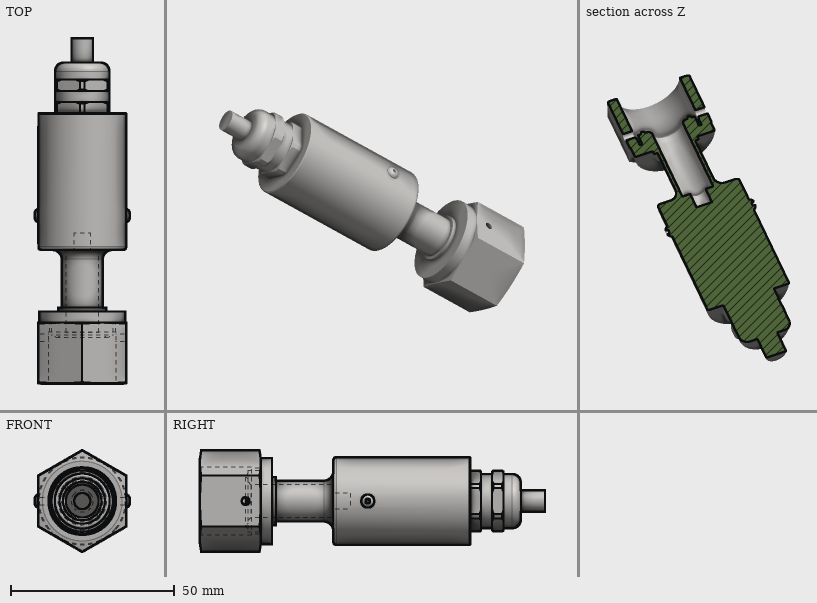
import cadquery as cq
import math

OVERALL_LENGTH = 105.7
OVERLAP = 0.5

NUT_FLATS = 27.0
NUT_LENGTH = 18.9
NUT_FACE_DIAMETER = 24.4
NUT_CHAMFER_DEPTH = 0.5
NUT_BORE_DIAMETER = 20.7
NUT_BORE_DEPTH = 15.9
NUT_SEAT_DIAMETER = 20.2
NUT_SEAT_DEPTH = 18.5
COLLAR_DIAMETER = 26.4
COLLAR_END = 22.2
PORT_DIAMETER = 2.3
PORT_Y = 14.2

GLAND_DIAMETER = 18.8
BEAD_TIP_Y = 14.2
BEAD_MEAN_DIAMETER = 15.3
BEAD_RADIUS = 0.7
GLAND_FACE_Y = BEAD_TIP_Y + BEAD_RADIUS
SLEEVE_DIAMETER = 14.8
SLEEVE_END = 23.4
SHANK_DIAMETER = 12.6
SHANK_FILLET = 2.7
BORE_DIAMETER = 10.0
BORE_MOUTH_DIAMETER = 11.7
SENSING_HOLE_DIAMETER = 5.0
SENSING_HOLE_DEPTH = 5.3

BODY_DIAMETER = 27.0
BODY_START = 40.9
BODY_END = 82.9
BODY_FILLET = 1.1
BODY_CHAMFER = 0.3

SCREW_Y = 51.5
SCREW_SPAN = 29.2
SCREW_DIAMETER = 4.0
SCREW_RIM_HEIGHT = 0.1
SCREW_SHOULDER_DIAMETER = 3.0
SCREW_SHOULDER_DROP = 0.3
SOCKET_MOUTH_DIAMETER = 1.5
SOCKET_DIAMETER = 1.2
SOCKET_DEPTH = 0.8

CABLE_GLAND_DIAMETER = 16.7
CABLE_GLAND_END = 98.3
DOME_RADIUS = 2.7
HEX_FLATS = 16.8
HEX_CORNER_DIAMETER = 18.6
HEX_CHAMFER = 0.4
LOWER_HEX_END = 86.2
UPPER_HEX_START = 89.5
UPPER_HEX_END = 93.0
CABLE_DIAMETER = 6.7


def cylinder(diameter, start, end):
    """Round bar along Y between two Y positions."""
    return cq.Workplane("XZ", origin=(0, start, 0)).circle(diameter / 2).extrude(start - end)


def hexagon(flats, start, end):
    """Hexagonal bar along Y with flats facing -X and +X."""
    corner_diameter = flats / math.cos(math.pi / 6)
    profile = cq.Workplane("XZ", origin=(0, start, 0)).transformed(rotate=(0, 0, 90))
    return profile.polygon(6, corner_diameter).extrude(start - end)


def revolve(profile):
    """Turn a closed (radius, Y) profile around the Y axis."""
    return profile.close().revolve(360, (0, 0, 0), (0, 1, 0))


def make_nut():
    corner_radius = NUT_FLATS / 2 / math.cos(math.pi / 6)
    face_radius = NUT_FACE_DIAMETER / 2
    chamfer_envelope = revolve(
        cq.Workplane("XY")
        .moveTo(0, 0)
        .lineTo(face_radius, 0)
        .lineTo(corner_radius, NUT_CHAMFER_DEPTH)
        .lineTo(corner_radius, NUT_LENGTH - NUT_CHAMFER_DEPTH)
        .lineTo(face_radius, NUT_LENGTH)
        .lineTo(0, NUT_LENGTH)
    )
    nut = hexagon(NUT_FLATS, 0, NUT_LENGTH).intersect(chamfer_envelope)
    nut = nut.union(cylinder(COLLAR_DIAMETER, NUT_LENGTH - OVERLAP, COLLAR_END))
    nut = nut.cut(cylinder(NUT_BORE_DIAMETER, 0, NUT_BORE_DEPTH))
    nut = nut.cut(cylinder(NUT_SEAT_DIAMETER, 0, NUT_SEAT_DEPTH))
    nut = nut.cut(cylinder(BORE_DIAMETER, 0, COLLAR_END))
    port = (
        cq.Workplane("YZ")
        .center(PORT_Y, 0)
        .circle(PORT_DIAMETER / 2)
        .extrude(NUT_FLATS, both=True)
    )
    return nut.cut(port)


def make_shank():
    """Gland with its sealing bead, sleeve and the shank flaring into the body."""
    bead_mid = BEAD_MEAN_DIAMETER / 2
    shank_radius = SHANK_DIAMETER / 2
    mouth_depth = (BORE_MOUTH_DIAMETER - BORE_DIAMETER) / 2
    flare_offset = SHANK_FILLET * (1 - math.sqrt(0.5))
    return revolve(
        cq.Workplane("XY")
        .moveTo(BORE_DIAMETER / 2, GLAND_FACE_Y + mouth_depth)
        .lineTo(BORE_MOUTH_DIAMETER / 2, GLAND_FACE_Y)
        .lineTo(bead_mid - BEAD_RADIUS, GLAND_FACE_Y)
        .threePointArc((bead_mid, BEAD_TIP_Y), (bead_mid + BEAD_RADIUS, GLAND_FACE_Y))
        .lineTo(GLAND_DIAMETER / 2, GLAND_FACE_Y)
        .lineTo(GLAND_DIAMETER / 2, NUT_SEAT_DEPTH + OVERLAP)
        .lineTo(SLEEVE_DIAMETER / 2, NUT_SEAT_DEPTH + OVERLAP)
        .lineTo(SLEEVE_DIAMETER / 2, SLEEVE_END)
        .lineTo(shank_radius, SLEEVE_END)
        .lineTo(shank_radius, BODY_START - SHANK_FILLET)
        .threePointArc(
            (shank_radius + flare_offset, BODY_START - flare_offset),
            (shank_radius + SHANK_FILLET, BODY_START),
        )
        .lineTo(BORE_DIAMETER / 2, BODY_START)
    )


def make_body():
    body = cylinder(BODY_DIAMETER, BODY_START, BODY_END)
    body = body.faces("<Y").edges().fillet(BODY_FILLET)
    body = body.faces(">Y").edges().chamfer(BODY_CHAMFER)
    return body.cut(cylinder(SENSING_HOLE_DIAMETER, BODY_START, BODY_START + SENSING_HOLE_DEPTH))


def make_screw(side):
    """Domed screw head with a countersunk round socket; side is -1 or +1 along X."""
    top = SCREW_SPAN / 2
    rim = BODY_DIAMETER / 2 + SCREW_RIM_HEIGHT
    base = BODY_DIAMETER / 2 - OVERLAP
    mouth_depth = (SOCKET_MOUTH_DIAMETER - SOCKET_DIAMETER) / 2
    head = (
        cq.Workplane("XY")
        .moveTo(base, 0)
        .lineTo(base, SCREW_DIAMETER / 2)
        .lineTo(rim, SCREW_DIAMETER / 2)
        .threePointArc(
            (top - SCREW_SHOULDER_DROP, SCREW_SHOULDER_DIAMETER / 2),
            (top, SOCKET_MOUTH_DIAMETER / 2),
        )
        .lineTo(top - mouth_depth, SOCKET_DIAMETER / 2)
        .lineTo(top - SOCKET_DEPTH, SOCKET_DIAMETER / 2)
        .lineTo(top - SOCKET_DEPTH, 0)
        .close()
        .revolve(360, (0, 0, 0), (1, 0, 0))
    )
    if side < 0:
        head = head.mirror("YZ")
    return head.translate((0, SCREW_Y, 0))


def make_gland_hex(start, end, chamfered_ends):
    """Hexagon of the cable gland with turned corners and chamfered end edges."""
    envelope = cylinder(HEX_CORNER_DIAMETER, start, end)
    envelope = envelope.faces(chamfered_ends).edges().chamfer(HEX_CHAMFER)
    return hexagon(HEX_FLATS, start, end).intersect(envelope)


def make_cable_gland():
    gland = cylinder(CABLE_GLAND_DIAMETER, BODY_END - OVERLAP, CABLE_GLAND_END)
    gland = gland.faces(">Y").edges().fillet(DOME_RADIUS)
    gland = gland.union(make_gland_hex(BODY_END - OVERLAP, LOWER_HEX_END, ">Y"))
    gland = gland.union(make_gland_hex(UPPER_HEX_START, UPPER_HEX_END, "<Y or >Y"))
    return gland.union(cylinder(CABLE_DIAMETER, CABLE_GLAND_END - OVERLAP, OVERALL_LENGTH))


result = make_nut().union(make_shank()).union(make_body()).union(make_cable_gland())
for side in (-1, 1):
    result = result.union(make_screw(side))